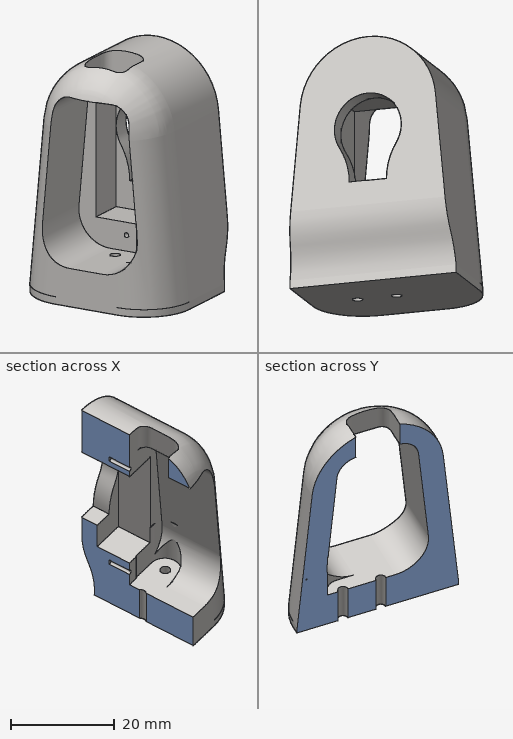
import cadquery as cq
import math

base_half_width = 16.995
depth = 26.7
height = 48.05
base_height = 1.55
crown_radius = 13.9
front_round = 10.1

relief_depth = 3.05
relief_top = 14.4

window_depth = 15.2
window_bottom = 7.75
window_top = 41.8
window_bottom_half = 11.3
window_top_half = 8.15
window_bottom_radius = 6.9
window_top_radius = 4.3

recess_half_width = 6.83
recess_bottom = 13.55
recess_top = 36.73
recess_depth = 7.7
neck_half_width = 3.8
neck_bottom = 19.3
screw_diameter = 0.95
screw_depth = 4.8
screw_heights = (10.95, 38.7)

crown_opening_size = 9.25
crown_opening_radius = 1.9

channel_left = 2.25
channel_x = 7.3
channel_y = 12.15
channel_radius = 3.15
channel_top = 17.7

floor_hole_diameter = 2.0
floor_hole_y = 12.0
floor_hole_xs = (-0.65, channel_x)


def front_sketch(y):
    """Workplane at the given y with local axes along X and Z, normal to -Y."""
    return cq.Workplane("XZ", origin=(0, y, 0))


def make_body():
    """Straight base under a tapered, round-topped body, broadly rounded at the front."""
    crown_z = height - crown_radius
    rise = crown_z - base_height
    distance = math.hypot(base_half_width, rise)
    angle = math.acos(crown_radius / distance) - math.atan2(rise, base_half_width)
    tangent_x = crown_radius * math.cos(angle)
    tangent_z = crown_z + crown_radius * math.sin(angle)
    upper = (
        front_sketch(0)
        .moveTo(-base_half_width, base_height)
        .lineTo(base_half_width, base_height)
        .lineTo(tangent_x, tangent_z)
        .threePointArc((0, height), (-tangent_x, tangent_z))
        .close()
        .extrude(-depth)
        .faces("<Y").edges("not(<Z)").fillet(front_round)
    )
    base = (
        cq.Workplane("XY", origin=(0, depth / 2, 0))
        .rect(2 * base_half_width, depth)
        .extrude(base_height)
        .edges("|Z and <Y").fillet(front_round)
    )
    return upper.union(base)


def make_rear_relief():
    """S-shaped cut that narrows the foot at the back."""
    mid_point = (depth - relief_depth / 2, (base_height + relief_top) / 2)
    return (
        cq.Workplane("YZ", origin=(-base_half_width, 0, 0))
        .moveTo(depth - relief_depth, 0)
        .lineTo(depth - relief_depth, base_height)
        .tangentArcPoint(mid_point, relative=False)
        .tangentArcPoint((depth, relief_top), relative=False)
        .lineTo(depth, 0)
        .close()
        .extrude(2 * base_half_width)
    )


def make_window():
    """Tapered pocket with rounded corners, open to the front."""
    return (
        front_sketch(0)
        .polyline([
            (-window_bottom_half, window_bottom),
            (window_bottom_half, window_bottom),
            (window_top_half, window_top),
            (-window_top_half, window_top),
        ])
        .close()
        .extrude(-window_depth)
        .edges("|Y").edges("<Z").fillet(window_bottom_radius)
        .edges("|Y").edges(">Z").fillet(window_top_radius)
    )


def make_recess():
    """Rectangular recess behind the window."""
    return (
        front_sketch(window_depth)
        .center(0, (recess_bottom + recess_top) / 2)
        .rect(2 * recess_half_width, recess_top - recess_bottom)
        .extrude(-recess_depth)
    )


def make_bulb_opening():
    """Bulb-shaped opening through the back: a circle flowing into a neck."""
    radius = recess_half_width
    bulb_z = recess_top - radius
    drop = bulb_z - neck_bottom
    flare_radius = (neck_half_width**2 + drop**2 - radius**2) / (2 * (radius - neck_half_width))
    flare_x = neck_half_width + flare_radius
    flare_angle = math.atan2(drop, flare_x)
    join_x = radius * math.cos(flare_angle)
    join_z = bulb_z - radius * math.sin(flare_angle)
    mid_x = flare_x - flare_radius * math.cos(flare_angle / 2)
    mid_z = neck_bottom + flare_radius * math.sin(flare_angle / 2)
    return (
        front_sketch(window_depth)
        .moveTo(-neck_half_width, neck_bottom)
        .lineTo(neck_half_width, neck_bottom)
        .threePointArc((mid_x, mid_z), (join_x, join_z))
        .threePointArc((0, recess_top), (-join_x, join_z))
        .threePointArc((-mid_x, mid_z), (-neck_half_width, neck_bottom))
        .close()
        .extrude(window_depth - depth)
    )


def make_screw_holes():
    """Blind holes above and below the recess."""
    return (
        front_sketch(window_depth)
        .pushPoints([(0, z) for z in screw_heights])
        .circle(screw_diameter / 2)
        .extrude(-screw_depth)
    )


def make_crown_opening():
    """Rounded square shaft from the crown down into the window."""
    middle_z = (window_bottom + window_top) / 2
    return (
        cq.Workplane("XY", origin=(0, window_depth - crown_opening_size / 2, middle_z))
        .rect(crown_opening_size, crown_opening_size)
        .extrude(height - middle_z)
        .edges("|Z").fillet(crown_opening_radius)
    )


def make_channel():
    """Vertical channel with a round end, cut into the window's corner."""
    return (
        cq.Workplane("XY", origin=(0, channel_y, window_bottom))
        .moveTo(channel_left, -channel_radius)
        .lineTo(channel_x, -channel_radius)
        .threePointArc((channel_x + channel_radius, 0), (channel_x, channel_radius))
        .lineTo(channel_left, channel_radius)
        .close()
        .extrude(channel_top - window_bottom)
    )


def make_floor_holes():
    """Vertical holes from the window floor out through the base."""
    return (
        cq.Workplane("XY")
        .pushPoints([(x, floor_hole_y) for x in floor_hole_xs])
        .circle(floor_hole_diameter / 2)
        .extrude(window_bottom)
    )


result = (
    make_body()
    .cut(make_rear_relief())
    .cut(make_window())
    .cut(make_recess())
    .cut(make_bulb_opening())
    .cut(make_screw_holes())
    .cut(make_crown_opening())
    .cut(make_channel())
    .cut(make_floor_holes())
)